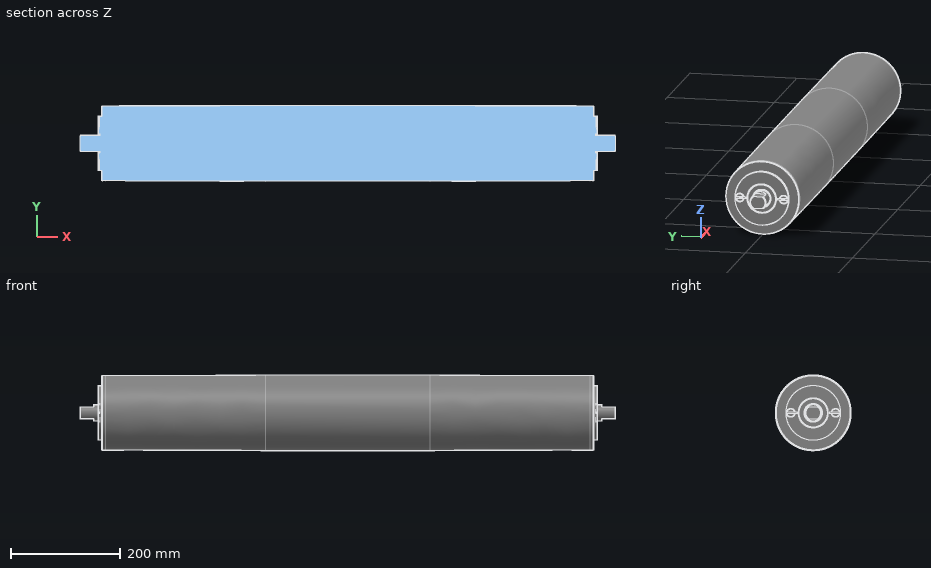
import cadquery as cq

SHAFT_LENGTH = 980.0
SHELL_LENGTH = 900.0
CYLINDRICAL_LENGTH = 300.0
RIM_WIDTH = 6.5
RIM_CHAMFER = 1.0

CROWN_DIAMETER = 139.0
END_DIAMETER = 137.5

CAP_DIAMETER = 100.0
CAP_HEIGHT = 6.5
SEAL_DIAMETER = 55.0
SEAL_GROOVE_WIDTH = 1.5
SEAL_GROOVE_DEPTH = 1.0
BORE_DIAMETER = 34.0
BORE_DEPTH = 3.0

PLUG_HOLE_DIAMETER = 16.0
PLUG_DIAMETER = 14.0
PLUG_GAP_DEPTH = 1.0
PLUG_OFFSET = 41.0
PLUG_SLOT_WIDTH = 3.0
PLUG_SLOT_INNER_END = 30.0
PLUG_SLOT_DEPTH = 2.0

SHAFT_DIAMETER = 30.0
SHAFT_CHAMFER = 1.5
FLAT_WIDTH = 22.0
FLAT_LENGTH = 25.0

half_shaft = SHAFT_LENGTH / 2
half_shell = SHELL_LENGTH / 2
cap_face = half_shell + CAP_HEIGHT


def make_shell():
    """Crowned drum: cylindrical middle, a cone on each side and a short chamfered rim."""
    rim_start = half_shell - RIM_WIDTH
    half_middle = CYLINDRICAL_LENGTH / 2
    crown_radius = CROWN_DIAMETER / 2
    end_radius = END_DIAMETER / 2
    profile = (
        cq.Workplane("XY")
        .moveTo(-half_shell, 0)
        .lineTo(-half_shell, end_radius)
        .lineTo(-rim_start, end_radius)
        .lineTo(-half_middle, crown_radius)
        .lineTo(half_middle, crown_radius)
        .lineTo(rim_start, end_radius)
        .lineTo(half_shell, end_radius)
        .lineTo(half_shell, 0)
        .close()
    )
    shell = profile.revolve(360, (0, 0, 0), (1, 0, 0))
    return shell.faces("<X or >X").chamfer(RIM_CHAMFER)


def x_cylinder(diameter, start, end, y=0.0):
    """Solid cylinder along X between two stations."""
    return cq.Workplane("YZ", origin=(start, y, 0)).circle(diameter / 2).extrude(end - start)


def x_ring(outer_diameter, inner_diameter, start, end, y=0.0):
    """Ring along X between two stations."""
    return x_cylinder(outer_diameter, start, end, y).cut(x_cylinder(inner_diameter, start, end, y))


def make_cap():
    """Raised disc of the +X end with its seal groove, shaft bore and slotted plugs."""
    cap = x_cylinder(CAP_DIAMETER, half_shell, cap_face)
    seal_inner_diameter = SEAL_DIAMETER - 2 * SEAL_GROOVE_WIDTH
    cap = cap.cut(x_ring(SEAL_DIAMETER, seal_inner_diameter, cap_face - SEAL_GROOVE_DEPTH, cap_face))
    cap = cap.cut(x_cylinder(BORE_DIAMETER, cap_face - BORE_DEPTH, cap_face))
    slot_outer_end = PLUG_OFFSET + PLUG_HOLE_DIAMETER / 2
    slot_length = slot_outer_end - PLUG_SLOT_INNER_END
    slot_middle = (slot_outer_end + PLUG_SLOT_INNER_END) / 2
    slot_x = cap_face - PLUG_SLOT_DEPTH / 2
    for side in (-1, 1):
        y = side * PLUG_OFFSET
        cap = cap.cut(x_ring(PLUG_HOLE_DIAMETER, PLUG_DIAMETER, cap_face - PLUG_GAP_DEPTH, cap_face, y))
        slot = cq.Workplane("XY").box(PLUG_SLOT_DEPTH, slot_length, PLUG_SLOT_WIDTH)
        cap = cap.cut(slot.translate((slot_x, side * slot_middle, 0)))
    return cap


def make_journal():
    """Shaft end on the +X side: chamfered cylinder with a flat above and below."""
    journal = x_cylinder(SHAFT_DIAMETER, half_shell, half_shaft).faces(">X").chamfer(SHAFT_CHAMFER)
    flat_depth = (SHAFT_DIAMETER - FLAT_WIDTH) / 2
    flat_x = half_shaft - FLAT_LENGTH / 2
    flat_z = (FLAT_WIDTH + flat_depth) / 2
    for z in (-flat_z, flat_z):
        journal = journal.cut(
            cq.Workplane("XY").box(FLAT_LENGTH, SHAFT_DIAMETER, flat_depth).translate((flat_x, 0, z))
        )
    return journal


end = make_cap().union(make_journal())
result = make_shell().union(end).union(end.mirror("YZ"))